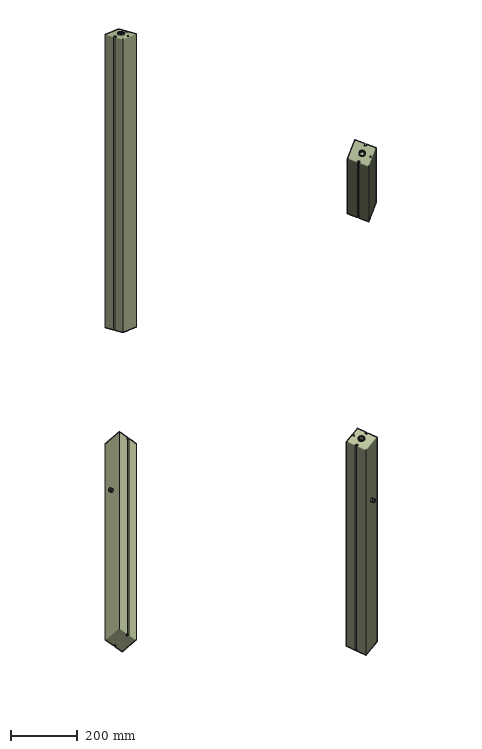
import cadquery as cq

total_length = 940.0
total_width = 80.0
body_depth = 64.0

collar_height = 4.0
collar_diameter = 20.0
bore_diameter = 14.0
bore_depth = 19.0
fitting_length = 10.0
fitting_height = 681.0

body_width = total_width - fitting_length
body_length = total_length - collar_height
end_fillet = 3.3

axis_x = 1.0

groove_width = 6.0
groove_depth = 7.05

pin_hole_diameter = 4.0
pin_hole_depth = 9.0
pin_hole_x = 28.0

base_diameter = 12.0
base_length = 6.0
tip_diameter = 11.0


def make_bar():
    """Rectangular bar with both end faces rounded."""
    bar = cq.Workplane("XY").box(body_width, body_depth, body_length, centered=(True, True, False))
    return bar.faces("<Z or >Z").fillet(end_fillet)


def make_groove(side):
    """Full-length groove cutter for the Y face on the given side."""
    centre_y = side * (body_depth - groove_depth) / 2
    return (
        cq.Workplane("XY")
        .center(axis_x, centre_y)
        .rect(groove_width, groove_depth)
        .extrude(body_length)
    )


def make_collar():
    """Round collar around the bore on the top face."""
    return cq.Workplane("XY", origin=(axis_x, 0, body_length)).circle(collar_diameter / 2).extrude(collar_height)


def make_top_hole(x, top, diameter, depth):
    """Vertical hole cutter reaching down from the given height."""
    return cq.Workplane("XY", origin=(x, 0, top)).circle(diameter / 2).extrude(-depth)


def make_fitting_cylinder(diameter, length):
    """Cylinder standing out along -X from the -X face."""
    start = (-body_width / 2, 0, fitting_height)
    return cq.Workplane("YZ", origin=start).circle(diameter / 2).extrude(-length)


result = make_bar()
for side in (-1, 1):
    result = result.cut(make_groove(side))

result = result.union(make_collar())
result = result.cut(make_top_hole(axis_x, total_length, bore_diameter, bore_depth))
result = result.cut(make_top_hole(pin_hole_x, body_length, pin_hole_diameter, pin_hole_depth))

result = result.union(make_fitting_cylinder(base_diameter, base_length))
result = result.union(make_fitting_cylinder(tip_diameter, fitting_length))